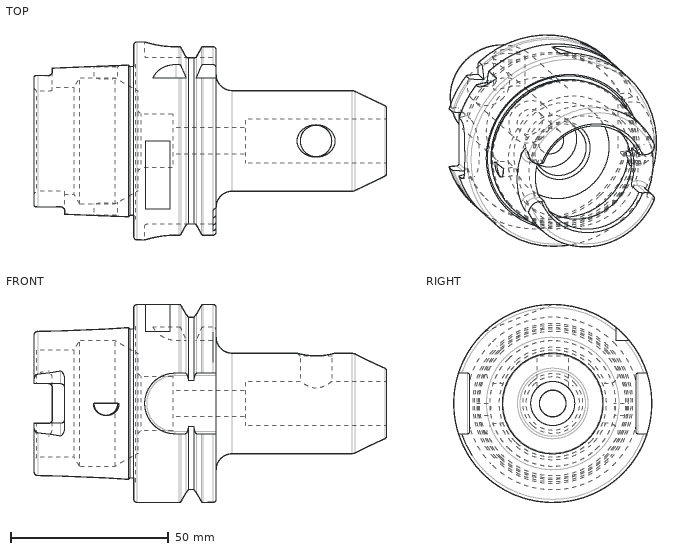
import cadquery as cq
import math


LENGTH = 112.0

SHANK_LENGTH = 31.7
TAIL_DIA = 45.8
GAUGE_DIA = 48.3
TAIL_EDGE_RADIUS = 1.3
FACE_RECESS_DIA = 50.8
FACE_RECESS_DEPTH = 0.6
NECK_GROOVE_START = 30.0
NECK_GROOVE_DEPTH = 0.5

FLANGE_DIA = 63.0
FLANGE_END = 57.9
FLANGE_EDGE_RADIUS = 1.0
GROOVE_CENTER = 50.0
GROOVE_RIM_WIDTH = 6.8
GROOVE_HALF_ANGLE = 30.0
GROOVE_WALL_DEPTH = 3.0
GROOVE_FLOOR_DIA = 54.9
GROOVE_FLOOR_WIDTH = 1.7
GROOVE_RIM_RADIUS = 0.7

NOSE_DIA = 32.0
NOSE_ROOT_RADIUS = 5.0
NOSE_CONE_START = 101.5
NOSE_TIP_DIA = 22.0
NOSE_SHOULDER_RADIUS = 2.2
NOSE_TIP_RADIUS = 0.9

MOUTH_DIA = 34.0
MOUTH_CHAMFER = 0.9
MOUTH_LENGTH = 12.8
CAVITY_DIA = 40.0
CAVITY_CONE_ANGLE = 60.0
CAVITY_END = 25.8
CAVITY_FLOOR = 33.0
CAVITY_FLOOR_DIA = 31.7
THREAD_DIA = 17.0
THREAD_MOUTH_DIA = 19.0
THREAD_LENGTH = 11.2
COOLANT_DIA = 8.4
TOOL_BORE_DIA = 14.0
TOOL_BORE_DEPTH = 44.8

KEYWAY_WIDTH = 12.5
KEYWAY_FRONT_DEPTH = 9.7
KEYWAY_BACK_DEPTH = 5.8
KEYWAY_FLARE_RADIUS = 3.1
KEYWAY_FLOOR_RADIUS = 1.2

ACCESS_DIA = 7.5
ACCESS_RIM_DIA = 8.4
ACCESS_RIM_DEPTH = 0.5
ACCESS_X = 22.8

SLOT_WIDTH = 19.3
SLOT_CENTER_X = 44.8
SLOT_FLOOR_Y = 26.4
SLOT_FLOOR_RADIUS = 0.7

NOTCH_RADIUS = 8.5
NOTCH_CENTER_X = 45.1
NOTCH_FLOOR_Y = 20.0
NOTCH_BOTTOM_Z = 20.0

PAD_START = 35.4
PAD_LENGTH = 7.8
PAD_SPAN_ANGLE = 43.5

SCREW_DIA = 10.0
SCREW_X = 89.6
SCREW_SINK_DIA = 12.1
SCREW_SINK_DEPTH = 1.0

EDGE_TOLERANCE = 0.06
OUTSIDE = 2 * FLANGE_DIA


def revolve_outline(points):
    """Turn a closed outline of (x, radius) points about the X axis."""
    outline = cq.Workplane("XY").polyline(points).close()
    return outline.revolve(360, (0, 0, 0), (1, 0, 0))


def round_rim(body, x, radius, fillet):
    """Fillet the turned edge at the given axial position and radius."""

    def is_rim(edge):
        if edge.geomType() != "CIRCLE":
            return False
        center_x = edge.arcCenter().x
        return abs(center_x - x) < EDGE_TOLERANCE and abs(edge.radius() - radius) < EDGE_TOLERANCE

    rims = [edge for edge in body.edges().vals() if is_rim(edge)]
    return body.newObject(rims).fillet(fillet)


def turned_body():
    flange_r = FLANGE_DIA / 2
    floor_r = GROOVE_FLOOR_DIA / 2
    gauge_r = GAUGE_DIA / 2
    tail_r = TAIL_DIA / 2
    nose_r = NOSE_DIA / 2
    tip_r = NOSE_TIP_DIA / 2
    recess_r = FACE_RECESS_DIA / 2
    neck_r = gauge_r - NECK_GROOVE_DEPTH
    recess_x = SHANK_LENGTH + FACE_RECESS_DEPTH
    rim_half = GROOVE_RIM_WIDTH / 2
    floor_half = GROOVE_FLOOR_WIDTH / 2
    wall_r = flange_r - GROOVE_WALL_DEPTH
    wall_half = rim_half - GROOVE_WALL_DEPTH * math.tan(math.radians(GROOVE_HALF_ANGLE))
    body = revolve_outline([
        (0, 0),
        (0, tail_r),
        (NECK_GROOVE_START, gauge_r),
        (NECK_GROOVE_START + NECK_GROOVE_DEPTH, neck_r),
        (recess_x, neck_r),
        (recess_x, recess_r - FACE_RECESS_DEPTH),
        (SHANK_LENGTH, recess_r),
        (SHANK_LENGTH, flange_r),
        (GROOVE_CENTER - rim_half, flange_r),
        (GROOVE_CENTER - wall_half, wall_r),
        (GROOVE_CENTER - floor_half, floor_r),
        (GROOVE_CENTER + floor_half, floor_r),
        (GROOVE_CENTER + wall_half, wall_r),
        (GROOVE_CENTER + rim_half, flange_r),
        (FLANGE_END, flange_r),
        (FLANGE_END, nose_r),
        (NOSE_CONE_START, nose_r),
        (LENGTH, tip_r),
        (LENGTH, 0),
    ])
    for side in (-1, 1):
        body = round_rim(body, GROOVE_CENTER + side * rim_half, flange_r, GROOVE_RIM_RADIUS)
    body = round_rim(body, 0, tail_r, TAIL_EDGE_RADIUS)
    body = round_rim(body, SHANK_LENGTH, flange_r, FLANGE_EDGE_RADIUS)
    body = round_rim(body, FLANGE_END, flange_r, FLANGE_EDGE_RADIUS)
    body = round_rim(body, FLANGE_END, nose_r, NOSE_ROOT_RADIUS)
    body = round_rim(body, NOSE_CONE_START, nose_r, NOSE_SHOULDER_RADIUS)
    return round_rim(body, LENGTH, tip_r, NOSE_TIP_RADIUS)


def axial_bores():
    mouth_r = MOUTH_DIA / 2
    cavity_r = CAVITY_DIA / 2
    thread_r = THREAD_DIA / 2
    thread_mouth_r = THREAD_MOUTH_DIA / 2
    cone_length = (cavity_r - mouth_r) / math.tan(math.radians(CAVITY_CONE_ANGLE))
    thread_end = CAVITY_FLOOR + THREAD_LENGTH
    cavity = revolve_outline([
        (0, 0),
        (0, mouth_r + MOUTH_CHAMFER),
        (MOUTH_CHAMFER, mouth_r),
        (MOUTH_LENGTH, mouth_r),
        (MOUTH_LENGTH + cone_length, cavity_r),
        (CAVITY_END, cavity_r),
        (CAVITY_FLOOR, CAVITY_FLOOR_DIA / 2),
        (CAVITY_FLOOR, thread_mouth_r),
        (CAVITY_FLOOR + thread_mouth_r - thread_r, thread_r),
        (thread_end, thread_r),
        (thread_end, 0),
    ])
    coolant = cq.Workplane("YZ").circle(COOLANT_DIA / 2).extrude(LENGTH)
    tool_bore = cq.Workplane("YZ", origin=(LENGTH, 0, 0)).circle(TOOL_BORE_DIA / 2).extrude(-TOOL_BORE_DEPTH)
    return cavity.union(coolant).union(tool_bore)


def keyway(depth, side):
    """Cutter for one keyway whose walls flare out to meet the shank surface at the keyway floor."""
    half = KEYWAY_WIDTH / 2
    taper = (GAUGE_DIA - TAIL_DIA) / NECK_GROOVE_START
    surface_r = (TAIL_DIA + taper * depth) / 2
    flare_r = KEYWAY_FLARE_RADIUS
    center_z = half + flare_r
    center_y = math.sqrt((surface_r - flare_r) ** 2 - center_z ** 2)
    angle = math.atan2(center_z, center_y)
    mid_angle = (angle - math.pi / 2) / 2
    mid_y = center_y + flare_r * math.cos(mid_angle)
    mid_z = center_z + flare_r * math.sin(mid_angle)
    end_y = surface_r * math.cos(angle)
    end_z = surface_r * math.sin(angle)
    tip_y = end_y - flare_r * math.sin(angle)
    tip_z = end_z + flare_r * math.cos(angle)
    outer_y = OUTSIDE / 2
    cutter = (
        cq.Workplane("YZ")
        .moveTo(0, -half)
        .lineTo(center_y, -half)
        .threePointArc((mid_y, -mid_z), (end_y, -end_z))
        .lineTo(tip_y, -tip_z)
        .lineTo(outer_y, -tip_z)
        .lineTo(outer_y, tip_z)
        .lineTo(tip_y, tip_z)
        .lineTo(end_y, end_z)
        .threePointArc((mid_y, mid_z), (center_y, half))
        .lineTo(0, half)
        .close()
        .extrude(depth)
        .faces(">X")
        .edges()
        .fillet(KEYWAY_FLOOR_RADIUS)
    )
    if side < 0:
        cutter = cutter.mirror("XZ")
    return cutter


def access_hole():
    """Cutter for the lower half of a cross hole, widened by a cone at each outer end."""
    hole_r = ACCESS_DIA / 2
    rim_r = ACCESS_RIM_DIA / 2
    rim_y = GAUGE_DIA / 2 - ACCESS_RIM_DEPTH / 2
    cone_y = rim_y - ACCESS_RIM_DEPTH
    half_profile = (
        cq.Workplane("XY")
        .moveTo(ACCESS_X, -OUTSIDE / 2)
        .lineTo(ACCESS_X + rim_r, -OUTSIDE / 2)
        .lineTo(ACCESS_X + rim_r, -rim_y)
        .lineTo(ACCESS_X + hole_r, -cone_y)
        .lineTo(ACCESS_X + hole_r, cone_y)
        .lineTo(ACCESS_X + rim_r, rim_y)
        .lineTo(ACCESS_X + rim_r, OUTSIDE / 2)
        .lineTo(ACCESS_X, OUTSIDE / 2)
        .close()
    )
    return half_profile.revolve(180, (ACCESS_X, 0, 0), (ACCESS_X, 1, 0))


def round_ended_cutter(center_x, center_z, radius, floor_y):
    """Cutter from a floor at +Y outward, round at the shank end and open toward the nose."""
    run = FLANGE_END + NOSE_ROOT_RADIUS - center_x
    depth = OUTSIDE / 2 - floor_y
    return (
        cq.Workplane("XZ", origin=(center_x, floor_y, center_z))
        .moveTo(run, radius)
        .lineTo(0, radius)
        .threePointArc((-radius, 0), (0, -radius))
        .lineTo(run, -radius)
        .close()
        .extrude(-depth)
    )


def flange_slot(side):
    cutter = round_ended_cutter(SLOT_CENTER_X, 0, SLOT_WIDTH / 2, SLOT_FLOOR_Y)
    cutter = cutter.faces("<Y").edges().fillet(SLOT_FLOOR_RADIUS)
    if side < 0:
        cutter = cutter.mirror("XZ")
    return cutter


def offset_notch():
    return round_ended_cutter(NOTCH_CENTER_X, NOTCH_BOTTOM_Z + NOTCH_RADIUS, NOTCH_RADIUS, NOTCH_FLOOR_Y)


def flange_pad():
    """Cutter for a chord of the flange that starts at the top and leans toward -Y."""
    chord_height = FLANGE_DIA / 2 * math.cos(math.radians(PAD_SPAN_ANGLE / 2))
    cutter = cq.Workplane("XY").box(PAD_LENGTH, FLANGE_DIA, FLANGE_DIA, centered=(False, True, False))
    cutter = cutter.translate((PAD_START, 0, chord_height))
    return cutter.rotate((0, 0, 0), (1, 0, 0), PAD_SPAN_ANGLE / 2)


def screw_hole():
    nose_r = NOSE_DIA / 2
    hole = cq.Workplane("XY", origin=(SCREW_X, 0, 0)).circle(SCREW_DIA / 2).extrude(nose_r)
    sink = (
        cq.Workplane("XY", origin=(SCREW_X, 0, nose_r - SCREW_SINK_DEPTH))
        .circle(SCREW_DIA / 2)
        .workplane(offset=SCREW_SINK_DEPTH)
        .circle(SCREW_SINK_DIA / 2)
        .loft()
    )
    return hole.union(sink)


result = turned_body().cut(axial_bores())
result = result.cut(keyway(KEYWAY_FRONT_DEPTH, -1)).cut(keyway(KEYWAY_BACK_DEPTH, 1))
result = result.cut(access_hole())
result = result.cut(flange_slot(-1)).cut(flange_slot(1))
result = result.cut(offset_notch()).cut(flange_pad()).cut(screw_hole())